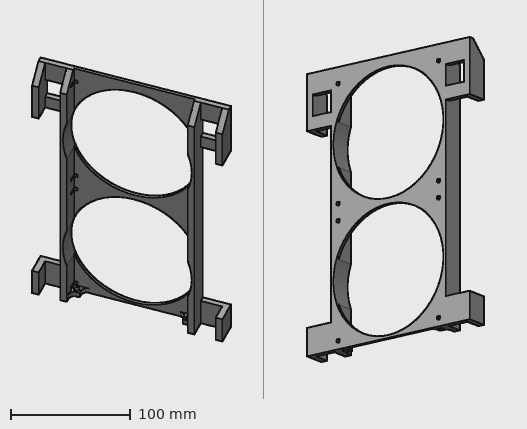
import cadquery as cq

HEIGHT = 247.0
WIDTH = 170.1
DEPTH = 20.0

FAN_SIZE = 120.0
FAN_COUNT = 2
FAN_BORE = 115.0
SCREW_SPACING = 105.0
SCREW_HOLE = 3.4
SCREW_HOLE_DEPTH = 10.0

PLATE_THICKNESS = 3.0
HOOK_BACK_THICKNESS = 5.0
RAIL_THICKNESS = 6.0
FLANGE_THICKNESS = 6.0

UPPER_HOOK_HEIGHT = 50.0
LOWER_HOOK_HEIGHT = 25.0
WINDOW_HEIGHT = 19.0
WINDOW_TOP_MARGIN = 19.0

BOSS_HEIGHT = 5.0
BOSS_SIDE = 8.0
BOSS_FILLET = 5.0
BOSS_HOLE = 4.8
BOSS_HOLE_OFFSET = 4.0

RAIL_OUTER_X = FAN_SIZE / 2
RAIL_INNER_X = RAIL_OUTER_X - RAIL_THICKNESS
FLANGE_OUTER_X = WIDTH / 2
FLANGE_INNER_X = FLANGE_OUTER_X - FLANGE_THICKNESS
SIDES = (-1, 1)


def block(x_start, x_end, depth, z_start, z_end):
    """Box reaching from the back face toward -Y by the given depth."""
    size_x = abs(x_end - x_start)
    corner = (min(x_start, x_end), -depth, z_start)
    return cq.Workplane("XY").box(size_x, depth, z_end - z_start, centered=False).translate(corner)


def hook(side, z_start, z_end):
    """Back strip beside the rail, closed by an outer flange."""
    back = block(side * RAIL_OUTER_X, side * FLANGE_OUTER_X, HOOK_BACK_THICKNESS, z_start, z_end)
    flange = block(side * FLANGE_INNER_X, side * FLANGE_OUTER_X, DEPTH, z_start, z_end)
    return back.union(flange)


def window(side):
    """Opening through the back strip of an upper hook."""
    top = HEIGHT - WINDOW_TOP_MARGIN
    return block(side * RAIL_OUTER_X, side * FLANGE_INNER_X, HOOK_BACK_THICKNESS, top - WINDOW_HEIGHT, top)


def top_chamfer():
    """45 degree wedge removed from the top of the rails and flanges."""
    drop = DEPTH - HOOK_BACK_THICKNESS
    wedge = cq.Workplane("YZ").moveTo(-HOOK_BACK_THICKNESS, HEIGHT)
    wedge = wedge.lineTo(-DEPTH, HEIGHT).lineTo(-DEPTH, HEIGHT - drop).close()
    return wedge.extrude(WIDTH / 2, both=True)


def fan_cutter(center_z):
    """Fan bore, which also scallops the rails, and its four screw holes, which groove the rails."""
    plane = cq.Workplane("XZ", origin=(0, 0, center_z))
    bore = plane.circle(FAN_BORE / 2).extrude(DEPTH)
    screws = plane.rect(SCREW_SPACING, SCREW_SPACING, forConstruction=True).vertices()
    return bore.union(screws.circle(SCREW_HOLE / 2).extrude(SCREW_HOLE_DEPTH))


def corner_boss(side):
    """Drilled boss in the corner of rail and plate, flared into both by concave quarter arcs."""
    reach = BOSS_SIDE + BOSS_FILLET
    outline = (
        cq.Workplane("XY")
        .lineTo(reach, 0)
        .radiusArc((BOSS_SIDE, -BOSS_FILLET), -BOSS_FILLET)
        .lineTo(BOSS_SIDE, -BOSS_SIDE)
        .lineTo(BOSS_FILLET, -BOSS_SIDE)
        .radiusArc((0, -reach), -BOSS_FILLET)
        .close()
    )
    boss = outline.extrude(BOSS_HEIGHT)
    hole = cq.Workplane("XY").center(BOSS_HOLE_OFFSET, -BOSS_HOLE_OFFSET).circle(BOSS_HOLE / 2)
    boss = boss.cut(hole.extrude(BOSS_HEIGHT))
    boss = boss.translate((-RAIL_INNER_X, -PLATE_THICKNESS, 0))
    return boss if side < 0 else boss.mirror("YZ")


def build():
    part = block(-RAIL_OUTER_X, RAIL_OUTER_X, PLATE_THICKNESS, 0, HEIGHT)
    for side in SIDES:
        part = part.union(block(side * RAIL_INNER_X, side * RAIL_OUTER_X, DEPTH, 0, HEIGHT))
        part = part.union(hook(side, 0, LOWER_HOOK_HEIGHT))
        part = part.union(hook(side, HEIGHT - UPPER_HOOK_HEIGHT, HEIGHT))
        part = part.cut(window(side))
    part = part.cut(top_chamfer())
    for index in range(FAN_COUNT):
        part = part.cut(fan_cutter((index + 0.5) * FAN_SIZE))
    for side in SIDES:
        part = part.union(corner_boss(side))
    return part


result = build()